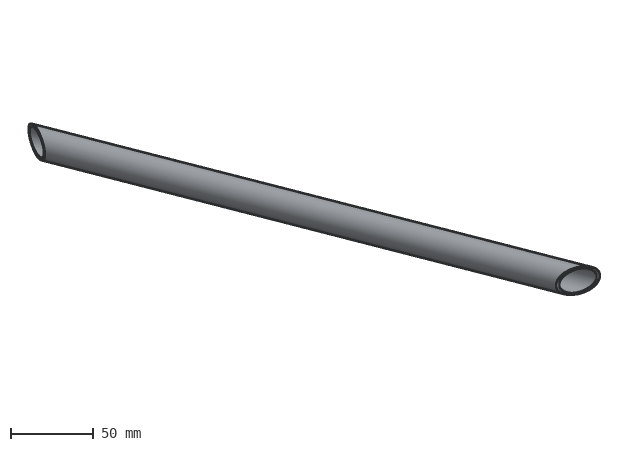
import cadquery as cq
import math

length = 380.2
outer_diameter = 20.0
wall = 1.5
height = 23.0
rise = height - outer_diameter
miter_run = outer_diameter

axis_run = length - miter_run
slope = math.degrees(math.atan2(rise, axis_run))
stock_length = 1.2 * length

tube = (
    cq.Workplane("YZ")
    .circle(outer_diameter / 2)
    .circle(outer_diameter / 2 - wall)
    .extrude(stock_length / 2, both=True)
    .rotate((0, 0, 0), (0, 1, 0), -slope)
)

half_width = outer_diameter / 2
half_long = length / 2
half_short = half_long - miter_run
trim = (
    cq.Workplane("XY")
    .polyline([
        (-half_long, half_width),
        (half_long, half_width),
        (half_short, -half_width),
        (-half_short, -half_width),
    ])
    .close()
    .extrude(height, both=True)
)

result = tube.intersect(trim)